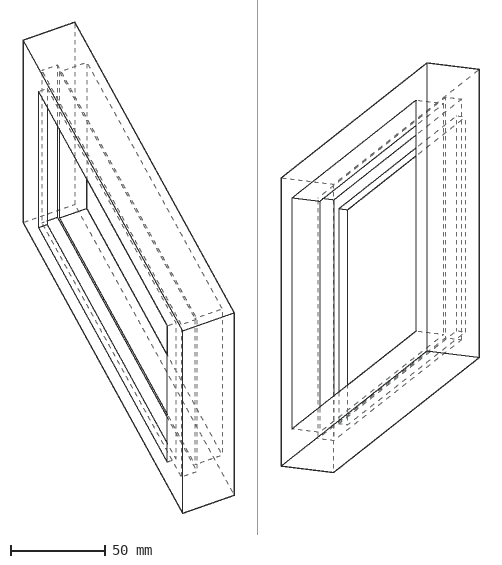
import cadquery as cq

width = 211
depth = 30.0
height = 161.0

border = 20.5
lip_thickness = 5.0

groove_inset = 7.2
groove_end = 14.1
rear_inset = 4.5


def opening(inset, start, end):
    """Rectangular cutter from Y = start to Y = end, wider than the front opening by inset on every side."""
    rim = border - inset
    return (
        cq.Workplane("XY")
        .box(width - 2 * rim, end - start, height - 2 * rim, centered=(True, False, True))
        .translate((0, start, 0))
    )


frame = cq.Workplane("XY").box(width, depth, height, centered=(True, False, True))
front_opening = opening(0, 0, lip_thickness)
groove = opening(groove_inset, lip_thickness, groove_end)
rear_opening = opening(rear_inset, groove_end, depth)

result = frame.cut(front_opening).cut(groove).cut(rear_opening)